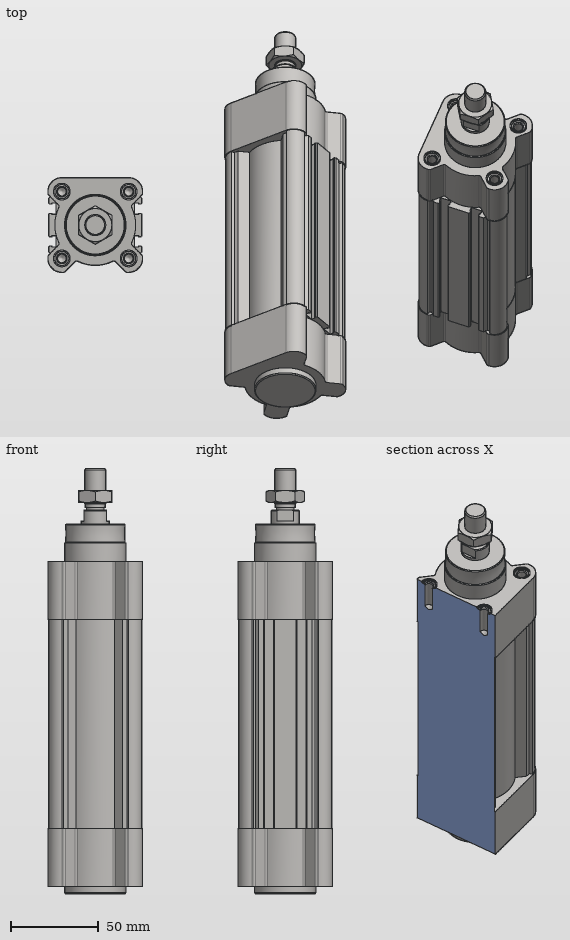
import cadquery as cq
import math

REAR_SPIGOT_LENGTH = 4.0
CAP_HEIGHT = 33.0
HOUSING_LENGTH = 185.0
FRONT_SPIGOT_LENGTH = 10.5
COLLAR_LENGTH = 10.7
SHOULDER_HEIGHT = 29.2
TOTAL_LENGTH = 241.9

REAR_FACE_Z = REAR_SPIGOT_LENGTH
REAR_CAP_TOP_Z = REAR_FACE_Z + CAP_HEIGHT
FRONT_FACE_Z = REAR_FACE_Z + HOUSING_LENGTH
FRONT_CAP_BASE_Z = FRONT_FACE_Z - CAP_HEIGHT
SPIGOT_TOP_Z = FRONT_FACE_Z + FRONT_SPIGOT_LENGTH
COLLAR_TOP_Z = SPIGOT_TOP_Z + COLLAR_LENGTH
SHOULDER_Z = FRONT_FACE_Z + SHOULDER_HEIGHT

CAP_WIDTH = 54.0
CAP_LUG_RADIUS = 8.0
LUG_PITCH = CAP_WIDTH / 2 - CAP_LUG_RADIUS
CAP_LUG_HALF_WIDTH = 6.7
TUBE_LUG_HALF_WIDTH = 6.5
CAP_CORE_RADIUS = 23.0
LUG_ROOT_FILLET = 1.2
LUG_TIP_FILLET = 1.8
EDGE_TOLERANCE = 0.1
TUBE_LUG_RADIUS = 7.5
TUBE_CORE_RADIUS = 22.8
TUBE_HALF_WIDTH = LUG_PITCH + TUBE_LUG_RADIUS

RAIL_HALF_WIDTH = 15.2
RAIL_ROOT_X = 12.0
SLOT_CENTRE_Y = 9.3
SLOT_MOUTH_WIDTH = 5.2
SLOT_MOUTH_CHAMFER = 0.55
SLOT_INNER_WIDTH = 6.3
SLOT_LIP_THICKNESS = 1.8
SLOT_FLOOR_X = 22.4

GROOVE_DEPTH = 1.7
GROOVE_FLOOR_END = 18.1

SPIGOT_DIAMETER = 35.0
REAR_SPIGOT_CHAMFER = 0.6
COLLAR_DIAMETER = 34.0
COLLAR_WAIST_DIAMETER = 33.5
COLLAR_CHAMFER = 0.5

HOLE_MOUTH_DIAMETER = 9.5
HOLE_MOUTH_DEPTH = 0.6
HOLE_STEP_DIAMETER = 8.0
HOLE_STEP_DEPTH = 1.2
SCREW_THREAD_DIAMETER = 6.0
SCREW_THREAD_CHAMFER_DEPTH = 1.8
SCREW_CORE_DIAMETER = 4.92
SCREW_HOLE_DEPTH = 18.0
DRILL_TIP_ANGLE = 118.0

ROD_DIAMETER = 16.0
ROD_BASE_Z = FRONT_FACE_Z
ROD_FLAT_WIDTH = 13.0
ROD_FLAT_LENGTH = 6.3
ROD_CHAMFER = 0.5
ROD_THREAD_DIAMETER = 12.0
ROD_THREAD_TIP_DIAMETER = 10.65
ROD_THREAD_TIP_HEIGHT = 0.9
ROD_THREAD_START_HEIGHT = 3.7
NECK_DIAMETER = 10.2
NECK_LENGTH = 1.5
RUNOUT_DIAMETER = 11.45

NUT_ACROSS_FLATS = 19.0
NUT_SIDES = 6
NUT_HEIGHT = 7.0
NUT_FACE_DIAMETER = 18.8
NUT_BASE_HEIGHT = 4.2
NUT_BASE_Z = SHOULDER_Z + NUT_BASE_HEIGHT
NUT_CHAMFER_ANGLE = 30.0

SIDES = (-1, 1)
CORNERS = [(sx * LUG_PITCH, sy * LUG_PITCH) for sx in SIDES for sy in SIDES]


def box(x_range, y_range, base_z, top_z):
    """Upright box between two X, two Y and two Z limits."""
    x0, x1 = x_range
    y0, y1 = y_range
    return cq.Workplane(obj=cq.Solid.makeBox(x1 - x0, y1 - y0, top_z - base_z, cq.Vector(x0, y0, base_z)))


def cylinder(diameter, base_z, top_z):
    return cq.Workplane().workplane(offset=base_z).circle(diameter / 2).extrude(top_z - base_z)


def lugged_section(core_radius, half_width, lug_radius, lug_half_width, base_z, top_z):
    """Round core with four lugs along the diagonals, cut off by a rounded square."""
    height = top_z - base_z
    floor = cq.Workplane().workplane(offset=base_z)
    square = floor.rect(2 * half_width, 2 * half_width).extrude(height).edges("|Z").fillet(lug_radius)
    section = cylinder(2 * core_radius, base_z, top_z)
    for angle in (45, 135):
        turned = floor.transformed(rotate=(0, 0, angle))
        strip = turned.rect(4 * half_width, 2 * lug_half_width).extrude(height)
        section = section.union(strip.intersect(square))
    return section


def edges_at(section, x, y):
    """Vertical edges that pass through (x, y) or one of its reflections in the lug symmetry."""
    near, far = sorted((x, y))

    def matches(edge):
        small, large = sorted((abs(edge.Center().x), abs(edge.Center().y)))
        return math.hypot(small - near, large - far) < EDGE_TOLERANCE

    return section.newObject([edge for edge in section.edges("|Z").vals() if matches(edge)])


def round_lugs(section, core_radius, half_width, lug_half_width):
    """Round the outer corners of the lugs and the inner corners at the core."""
    along = math.sqrt(core_radius**2 - lug_half_width**2)
    root = ((along - lug_half_width) / math.sqrt(2), (along + lug_half_width) / math.sqrt(2))
    tip = (half_width - lug_half_width * math.sqrt(2), half_width)
    section = edges_at(section, *root).fillet(LUG_ROOT_FILLET)
    return edges_at(section, *tip).fillet(LUG_TIP_FILLET)


def end_cap(base_z, top_z):
    """Lugged cap whose +Y side is filled to a flat face."""
    half_width = CAP_WIDTH / 2
    section = lugged_section(CAP_CORE_RADIUS, half_width, CAP_LUG_RADIUS, CAP_LUG_HALF_WIDTH, base_z, top_z)
    cap = round_lugs(section, CAP_CORE_RADIUS, half_width, CAP_LUG_HALF_WIDTH)
    return cap.union(box((-LUG_PITCH, LUG_PITCH), (LUG_PITCH / 2, half_width), base_z, top_z))


def prism(outline, base_z, top_z):
    return cq.Workplane().workplane(offset=base_z).polyline(outline).close().extrude(top_z - base_z)


def sensor_slot(base_z, top_z):
    """T-shaped cutter, with a chamfered mouth, for a slot in the middle of the +X side."""
    lip_x = TUBE_HALF_WIDTH - SLOT_LIP_THICKNESS
    half_mouth = SLOT_MOUTH_WIDTH / 2
    half_inner = SLOT_INNER_WIDTH / 2
    half_chamfer = half_mouth + SLOT_MOUTH_CHAMFER
    half_outline = [
        (SLOT_FLOOR_X, half_inner),
        (lip_x, half_inner),
        (lip_x, half_mouth),
        (TUBE_HALF_WIDTH - SLOT_MOUTH_CHAMFER, half_mouth),
        (TUBE_HALF_WIDTH, half_chamfer),
    ]
    other_half = [(x, -y) for x, y in reversed(half_outline)]
    return prism(half_outline + other_half, base_z, top_z)


def lug_grooves(base_z, top_z):
    """Cutter for the grooves on both sides of the lug in the +X, +Y corner."""
    floor = TUBE_HALF_WIDTH - GROOVE_DEPTH
    beside_rail = [
        (TUBE_HALF_WIDTH, RAIL_HALF_WIDTH),
        (floor, RAIL_HALF_WIDTH + GROOVE_DEPTH),
        (floor, GROOVE_FLOOR_END),
        (TUBE_HALF_WIDTH, LUG_PITCH),
    ]
    open_inside = [
        (RAIL_HALF_WIDTH, TUBE_HALF_WIDTH),
        (RAIL_HALF_WIDTH, floor),
        (GROOVE_FLOOR_END, floor),
        (LUG_PITCH, TUBE_HALF_WIDTH),
    ]
    return prism(beside_rail, base_z, top_z).union(prism(open_inside, base_z, top_z))


def profile_tube(base_z, top_z):
    tube = lugged_section(
        TUBE_CORE_RADIUS, TUBE_HALF_WIDTH, TUBE_LUG_RADIUS, TUBE_LUG_HALF_WIDTH, base_z, top_z
    )
    rail_end = RAIL_HALF_WIDTH + GROOVE_DEPTH
    rail = box((RAIL_ROOT_X, TUBE_HALF_WIDTH), (-rail_end, rail_end), base_z, top_z)
    slot = sensor_slot(base_z, top_z)
    for side in SIDES:
        rail = rail.cut(slot.translate((0, side * SLOT_CENTRE_Y, 0)))
    tube = tube.union(rail).union(rail.mirror("YZ"))
    grooves = lug_grooves(base_z, top_z)
    for half in (grooves, grooves.mirror("YZ")):
        tube = tube.cut(half).cut(half.mirror("XZ"))
    return tube


def collar():
    """Front collar with a slightly hollow, waisted side."""
    radius = COLLAR_DIAMETER / 2
    mid_z = (SPIGOT_TOP_Z + COLLAR_TOP_Z) / 2
    return (
        cq.Workplane("XZ")
        .moveTo(0, SPIGOT_TOP_Z)
        .lineTo(radius - COLLAR_CHAMFER, SPIGOT_TOP_Z)
        .lineTo(radius, SPIGOT_TOP_Z + COLLAR_CHAMFER)
        .threePointArc((COLLAR_WAIST_DIAMETER / 2, mid_z), (radius, COLLAR_TOP_Z - COLLAR_CHAMFER))
        .lineTo(radius - COLLAR_CHAMFER, COLLAR_TOP_Z)
        .lineTo(0, COLLAR_TOP_Z)
        .close()
        .revolve(360, (0, 0), (0, 1))
    )


def screw_hole():
    """Cutter for a stepped, threaded screw hole below the front face, on the Z axis."""
    core_radius = SCREW_CORE_DIAMETER / 2
    tip_depth = core_radius / math.tan(math.radians(DRILL_TIP_ANGLE / 2))
    outline = [
        (0, 0),
        (HOLE_MOUTH_DIAMETER / 2, 0),
        (HOLE_MOUTH_DIAMETER / 2, -HOLE_MOUTH_DEPTH),
        (HOLE_STEP_DIAMETER / 2, -HOLE_MOUTH_DEPTH),
        (HOLE_STEP_DIAMETER / 2, -HOLE_STEP_DEPTH),
        (SCREW_THREAD_DIAMETER / 2, -HOLE_STEP_DEPTH),
        (core_radius, -SCREW_THREAD_CHAMFER_DEPTH),
        (core_radius, -SCREW_HOLE_DEPTH),
        (0, -SCREW_HOLE_DEPTH - tip_depth),
    ]
    hole = cq.Workplane("XZ").polyline(outline).close().revolve(360, (0, 0), (0, 1))
    return hole.translate((0, 0, FRONT_FACE_Z))


def make_housing():
    rear_spigot = cylinder(SPIGOT_DIAMETER, 0, REAR_FACE_Z).faces("<Z").chamfer(REAR_SPIGOT_CHAMFER)
    housing = (
        end_cap(REAR_FACE_Z, REAR_CAP_TOP_Z)
        .union(profile_tube(REAR_CAP_TOP_Z, FRONT_CAP_BASE_Z))
        .union(end_cap(FRONT_CAP_BASE_Z, FRONT_FACE_Z))
        .union(rear_spigot)
        .union(cylinder(SPIGOT_DIAMETER, FRONT_FACE_Z, SPIGOT_TOP_Z))
        .union(collar())
        .cut(cylinder(ROD_DIAMETER, ROD_BASE_Z, COLLAR_TOP_Z))
    )
    for x, y in CORNERS:
        housing = housing.cut(screw_hole().translate((x, y, 0)))
    return housing


def make_piston_rod():
    """Rod with two wrench flats, an undercut neck and a plain end at the outer thread diameter."""
    thread_radius = ROD_THREAD_DIAMETER / 2
    runout_radius = RUNOUT_DIAMETER / 2
    thread_start_z = SHOULDER_Z + ROD_THREAD_START_HEIGHT
    outline = [
        (0, ROD_BASE_Z),
        (ROD_DIAMETER / 2, ROD_BASE_Z),
        (ROD_DIAMETER / 2, SHOULDER_Z - ROD_CHAMFER),
        (ROD_DIAMETER / 2 - ROD_CHAMFER, SHOULDER_Z),
        (NECK_DIAMETER / 2, SHOULDER_Z),
        (NECK_DIAMETER / 2, SHOULDER_Z + NECK_LENGTH),
        (runout_radius, SHOULDER_Z + NECK_LENGTH),
        (runout_radius, thread_start_z - (thread_radius - runout_radius)),
        (thread_radius, thread_start_z),
        (thread_radius, TOTAL_LENGTH - ROD_THREAD_TIP_HEIGHT),
        (ROD_THREAD_TIP_DIAMETER / 2, TOTAL_LENGTH),
        (0, TOTAL_LENGTH),
    ]
    rod = cq.Workplane("XZ").polyline(outline).close().revolve(360, (0, 0), (0, 1))
    flat_base_z = SHOULDER_Z - ROD_FLAT_LENGTH
    for side in SIDES:
        x_range = sorted((side * ROD_FLAT_WIDTH / 2, side * ROD_DIAMETER))
        rod = rod.cut(box(x_range, (-ROD_DIAMETER, ROD_DIAMETER), flat_base_z, SHOULDER_Z))
    return rod


def make_lock_nut():
    """Hexagon nut with flats facing X, chamfered on both faces."""
    corner_radius = NUT_ACROSS_FLATS / 2 / math.cos(math.pi / NUT_SIDES)
    face_radius = NUT_FACE_DIAMETER / 2
    chamfer_height = (corner_radius - face_radius) * math.tan(math.radians(NUT_CHAMFER_ANGLE))
    top_z = NUT_BASE_Z + NUT_HEIGHT
    chamfered_disc = (
        cq.Workplane("XZ")
        .polyline([
            (0, NUT_BASE_Z),
            (face_radius, NUT_BASE_Z),
            (corner_radius, NUT_BASE_Z + chamfer_height),
            (corner_radius, top_z - chamfer_height),
            (face_radius, top_z),
            (0, top_z),
        ])
        .close()
        .revolve(360, (0, 0), (0, 1))
    )
    hexagon = (
        cq.Workplane()
        .workplane(offset=NUT_BASE_Z)
        .transformed(rotate=(0, 0, 90))
        .polygon(NUT_SIDES, 2 * corner_radius)
        .extrude(NUT_HEIGHT)
    )
    return hexagon.intersect(chamfered_disc).cut(cylinder(ROD_THREAD_DIAMETER, NUT_BASE_Z, top_z))


housing = make_housing()
piston_rod = make_piston_rod()
lock_nut = make_lock_nut()

result = cq.Compound.makeCompound([housing.val(), piston_rod.val(), lock_nut.val()])